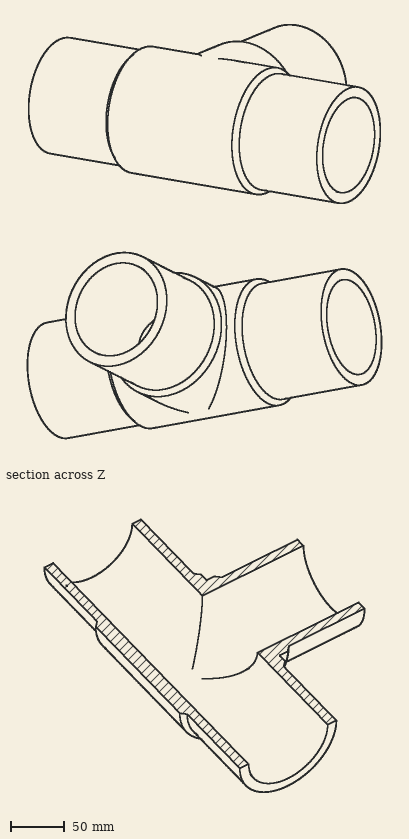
import cadquery as cq

run_length = 320.0
pipe_diameter = 110.0
body_diameter = 120.0
bore_diameter = 90.0
body_length = 148.0

arm_length = run_length / 2
body_reach = body_length / 2
chamfer = (body_diameter - pipe_diameter) / 2

run_plane = cq.Workplane("YZ")
branch_plane = cq.Workplane("XZ")


def rod(plane, diameter, start, end):
    """Solid cylinder along the plane normal, between two offsets."""
    return plane.workplane(offset=start).circle(diameter / 2).extrude(end - start)


run_body = rod(run_plane, body_diameter, -body_reach, body_reach).faces("<X or >X").chamfer(chamfer)
run_pipe = rod(run_plane, pipe_diameter, -arm_length, arm_length)

branch_body = rod(branch_plane, body_diameter, -body_reach, 0).faces(">Y").chamfer(chamfer)
branch_pipe = rod(branch_plane, pipe_diameter, -arm_length, 0)

run_bore = rod(run_plane, bore_diameter, -arm_length, arm_length)
branch_bore = rod(branch_plane, bore_diameter, -arm_length, 0)

outside = run_body.union(branch_body).union(run_pipe).union(branch_pipe)
result = outside.cut(run_bore).cut(branch_bore)